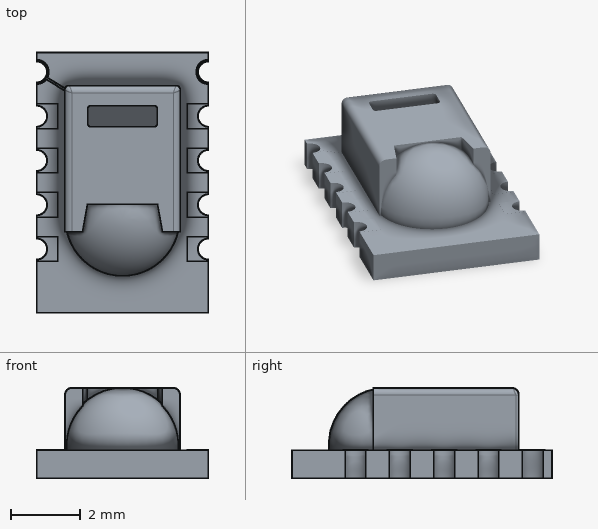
import cadquery as cq
import math

board_width = 4.93
board_length = 7.47
board_height = 0.815
total_height = 2.6

contact_pitch = 1.27
contact_radius = 0.3
contact_count = 5
contact_first_y = 3.175
pad_width = 0.61
pad_length = 0.71
ring_radius = 0.35
copper_height = 0.004
trace_width = 0.06
trace_length = 1.045
trace_angle = -32.0

housing_width = 3.3
housing_front_y = -1.405
housing_back_y = 2.78
housing_height = total_height - board_height
top_fillet = 0.2
back_corner_fillet = 0.1

slot_width = 1.995
slot_length = 0.61
slot_corner_radius = 0.1
slot_y = contact_first_y - contact_pitch

opening_front_width = 2.29
opening_back_width = 2.01
opening_depth = 0.785

lens_radius = 1.64
lens_y = -1.04

contact_ys = [contact_first_y - i * contact_pitch for i in range(contact_count)]
contact_points = [(side * board_width / 2, y) for side in (-1, 1) for y in contact_ys]


def make_board():
    return cq.Workplane("XY").box(board_width, board_length, board_height, centered=(True, True, False))


def make_copper():
    """Square pads, rings on the rearmost contacts and a trace from the left ring to the housing."""
    surface = cq.Workplane("XY").workplane(offset=board_height)
    pad_points = [(x, y) for x, y in contact_points if y != contact_first_y]
    ring_points = [(x, y) for x, y in contact_points if y == contact_first_y]
    pads = surface.pushPoints(pad_points).rect(2 * pad_width, pad_length).extrude(copper_height)
    rings = surface.pushPoints(ring_points).circle(ring_radius).extrude(copper_height)
    angle = math.radians(trace_angle)
    trace_center = (
        -board_width / 2 + trace_length / 2 * math.cos(angle),
        contact_first_y + trace_length / 2 * math.sin(angle),
    )
    trace = (
        surface.center(*trace_center)
        .transformed(rotate=(0, 0, trace_angle))
        .rect(trace_length, trace_width)
        .extrude(copper_height)
    )
    board_limits = cq.Workplane("XY").box(board_width, board_length, 2 * total_height)
    return pads.union(rings).union(trace).intersect(board_limits)


def make_contact_cuts():
    return cq.Workplane("XY").pushPoints(contact_points).circle(contact_radius).extrude(total_height)


def make_housing():
    surface = cq.Workplane("XY").workplane(offset=board_height)
    housing = (
        surface.center(0, (housing_front_y + housing_back_y) / 2)
        .rect(housing_width, housing_back_y - housing_front_y)
        .extrude(housing_height)
        .edges("|Z and >Y")
        .fillet(back_corner_fillet)
        .faces(">Z")
        .edges("not <Y")
        .fillet(top_fillet)
    )
    slot = (
        surface.center(0, slot_y)
        .rect(slot_width, slot_length)
        .extrude(housing_height)
        .edges("|Z")
        .fillet(slot_corner_radius)
    )
    opening_back_y = housing_front_y + opening_depth
    opening = (
        surface.polyline([
            (-opening_front_width / 2, housing_front_y),
            (opening_front_width / 2, housing_front_y),
            (opening_back_width / 2, opening_back_y),
            (-opening_back_width / 2, opening_back_y),
        ])
        .close()
        .extrude(housing_height)
    )
    return housing.cut(slot).cut(opening)


def make_lens():
    """Sphere level with the housing roof, cut off flat at the board surface."""
    sphere = cq.Workplane("XY", origin=(0, lens_y, total_height - lens_radius)).sphere(lens_radius)
    above_board = (
        cq.Workplane("XY")
        .workplane(offset=board_height)
        .rect(board_width, board_length)
        .extrude(housing_height)
    )
    return sphere.intersect(above_board)


board = make_board().union(make_copper()).cut(make_contact_cuts())
result = board.union(make_housing()).union(make_lens())